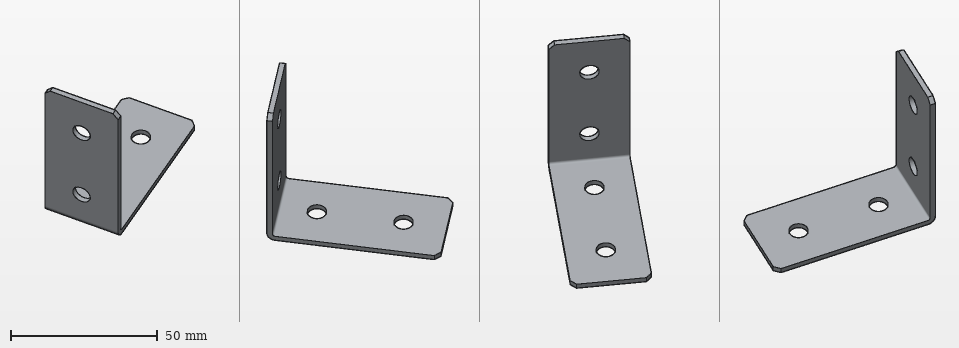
import cadquery as cq

width = 28.0
leg_length = 60.0
thickness = 2.0
inner_bend_radius = 1.0
corner_chamfer = 2.0
hole_diameter = 6.6
hole_distances = (15.0, 45.0)

outer_bend_radius = inner_bend_radius + thickness


def bent_strip():
    """L-shaped strip: upright leg on the XZ plane, flat leg on the XY plane."""
    blank = (
        cq.Workplane("YZ")
        .polyline([
            (0, 0),
            (leg_length, 0),
            (leg_length, thickness),
            (thickness, thickness),
            (thickness, leg_length),
            (0, leg_length),
        ])
        .close()
        .extrude(width / 2, both=True)
    )
    outer_corner = cq.selectors.NearestToPointSelector((0, 0, 0))
    inner_corner = cq.selectors.NearestToPointSelector((0, thickness, thickness))
    blank = blank.edges("|X").edges(outer_corner).fillet(outer_bend_radius)
    return blank.edges("|X").edges(inner_corner).fillet(inner_bend_radius)


def chamfer_leg_ends(body):
    """Cut the two free corners of each leg at 45 degrees."""
    body = body.faces(">Z").edges("|Y").chamfer(corner_chamfer)
    return body.faces(">Y").edges("|Z").chamfer(corner_chamfer)


def leg_holes():
    """Cylinders that pierce both legs on their centre lines."""
    radius = hole_diameter / 2
    cutters = cq.Workplane("XY")
    for distance in hole_distances:
        upright = cq.Solid.makeCylinder(
            radius, thickness, cq.Vector(0, 0, distance), cq.Vector(0, 1, 0)
        )
        flat = cq.Solid.makeCylinder(
            radius, thickness, cq.Vector(0, distance, 0), cq.Vector(0, 0, 1)
        )
        cutters = cutters.add(upright).add(flat)
    return cutters.combine()


result = chamfer_leg_ends(bent_strip()).cut(leg_holes())